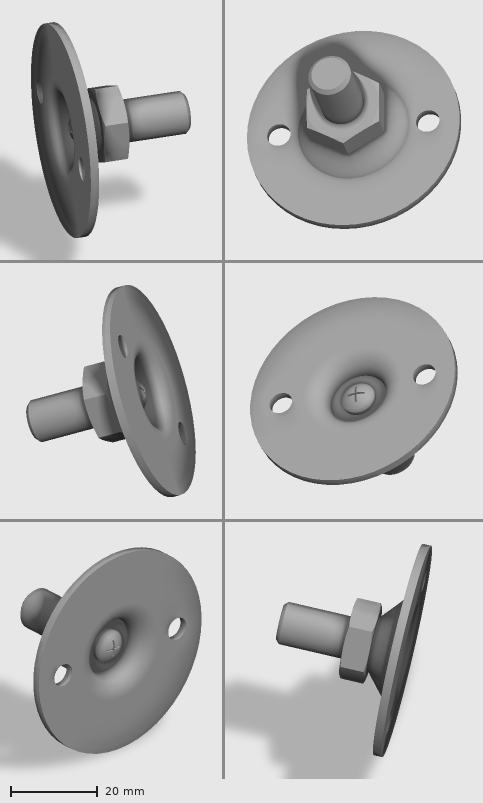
import cadquery as cq
import math

plate_diameter = 50
plate_thickness = 2
mount_hole_diameter = 5.5
mount_hole_spacing = 35

hub_base_diameter = 26
hub_top_diameter = 13.6
hub_top_y = 7.35
recess_depth = 5
recess_floor_diameter = 13.5
recess_round_radius = 5

stud_diameter = 10
stud_end_y = 30
stud_chamfer = 0.9
collar_diameter = 12.8

nut_flats = 17
nut_start_y = 7.85
nut_end_y = 14
nut_chamfer_start_diameter = 17
nut_chamfer_angle = 15

head_diameter = 8
head_rim_height = 1
dome_height = 2
slot_length = 4.15
slot_width = 0.5
slot_depth = 1


def turned(profile):
    """Revolve a closed (radius, Y) profile about the Y axis."""
    return profile.close().revolve(360, (0, 0, 0), (0, 1, 0))


def disc(diameter, start_y, end_y):
    """Cylinder along Y between two Y positions."""
    return cq.Workplane("XZ", origin=(0, start_y, 0)).circle(diameter / 2).extrude(start_y - end_y)


def make_plate():
    plate = disc(plate_diameter, 0, plate_thickness)
    for x in (-mount_hole_spacing / 2, mount_hole_spacing / 2):
        plate = plate.cut(disc(mount_hole_diameter, 0, plate_thickness).translate((x, 0, 0)))
    return plate


def make_hub():
    return turned(
        cq.Workplane("XY")
        .lineTo(hub_base_diameter / 2, 0)
        .lineTo(hub_base_diameter / 2, plate_thickness)
        .lineTo(hub_top_diameter / 2, hub_top_y)
        .lineTo(collar_diameter / 2, nut_start_y)
        .lineTo(0, nut_start_y)
    )


def make_recess():
    """Bell-mouthed recess whose wall is a convex quarter round."""
    floor_radius = recess_floor_diameter / 2
    mouth_radius = floor_radius + recess_round_radius
    diagonal = recess_round_radius * math.sqrt(0.5)
    return turned(
        cq.Workplane("XY")
        .lineTo(mouth_radius, 0)
        .threePointArc(
            (mouth_radius - diagonal, recess_round_radius - diagonal),
            (floor_radius, recess_depth),
        )
        .lineTo(0, recess_depth)
    )


def make_nut():
    corner_diameter = nut_flats / math.cos(math.pi / 6)
    blank = (
        cq.Workplane("XZ", origin=(0, nut_start_y, 0))
        .transformed(rotate=(0, 0, 90))
        .polygon(6, corner_diameter)
        .extrude(nut_start_y - nut_end_y)
    )
    corner_radius = corner_diameter / 2
    chamfer_radius = nut_chamfer_start_diameter / 2
    corner_drop = (corner_radius - chamfer_radius) * math.tan(math.radians(nut_chamfer_angle))
    envelope = turned(
        cq.Workplane("XY")
        .moveTo(0, nut_start_y)
        .lineTo(chamfer_radius, nut_start_y)
        .lineTo(corner_radius, nut_start_y + corner_drop)
        .lineTo(corner_radius, nut_end_y - corner_drop)
        .lineTo(chamfer_radius, nut_end_y)
        .lineTo(0, nut_end_y)
    )
    return blank.intersect(envelope)


def make_stud():
    stud = disc(stud_diameter, recess_depth, stud_end_y)
    return stud.faces(">Y").chamfer(stud_chamfer)


def make_screw_head():
    head_radius = head_diameter / 2
    rim_y = recess_depth - head_rim_height
    crown_y = rim_y - dome_height
    dome_radius = (head_radius**2 + dome_height**2) / (2 * dome_height)
    mid_radius = head_radius / 2
    mid_y = crown_y + dome_radius - math.sqrt(dome_radius**2 - mid_radius**2)
    head = turned(
        cq.Workplane("XY")
        .moveTo(0, recess_depth)
        .lineTo(head_radius, recess_depth)
        .lineTo(head_radius, rim_y)
        .threePointArc((mid_radius, mid_y), (0, crown_y))
    )
    slot_floor_y = crown_y + slot_depth
    for size_x, size_z in ((slot_length, slot_width), (slot_width, slot_length)):
        slot = cq.Workplane("XZ", origin=(0, slot_floor_y, 0)).rect(size_x, size_z).extrude(slot_floor_y)
        head = head.cut(slot)
    return head


body = make_plate().union(make_hub()).cut(make_recess())
result = body.union(make_nut()).union(make_stud()).union(make_screw_head())